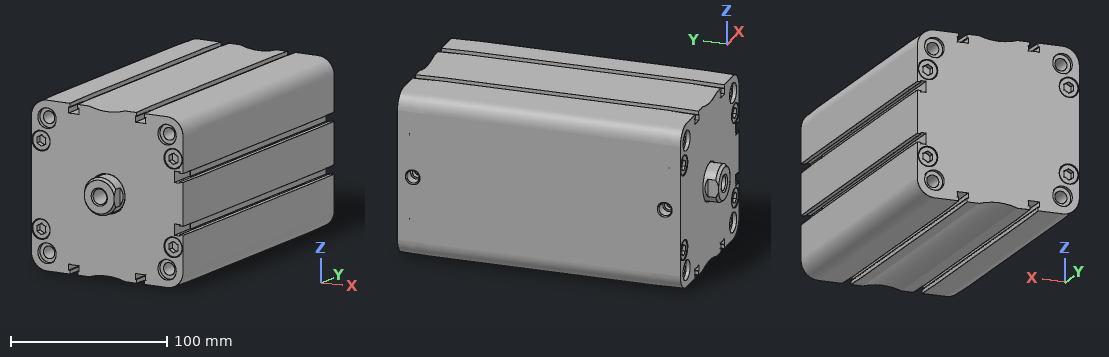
import cadquery as cq
import math

OVERALL_LENGTH = 202.0
ROD_LENGTH = 9.9
BODY_LENGTH = OVERALL_LENGTH - ROD_LENGTH
CAP_LENGTH = 19.5

WIDTH = 113.3
HALF_WIDTH = WIDTH / 2
CORNER_CENTER = 44.5
CAP_DRAFT = 0.5
DIP_HALF_WIDTH = 13.3
DIP_FLOOR = 54.1

SLOT_MOUTH = 5.9
SLOT_INNER_WIDTH = 7.5
SLOT_LIP_FACE = HALF_WIDTH - 3.0
SLOT_FLOOR = HALF_WIDTH - 6.5
FRONT_SLOT_FLOOR = HALF_WIDTH - 6.9
TOP_SLOT_OFFSET = 24.6
SIDE_SLOT_OFFSET = 17.4

MOUNT_HOLE_DIAMETER = 8.3
MOUNT_COUNTERBORE_DIAMETER = 13.5
MOUNT_COUNTERBORE_DEPTH = 2.6

SCREW_X = 48.9
SCREW_Z = 29.0
SCREW_RECESS_DIAMETER = 13.5
SCREW_RECESS_DEPTH = 8.0
SCREW_HEAD_DIAMETER = 12.7
SCREW_HEAD_INSET = 0.5
SOCKET_ACROSS_FLATS = 6.5
SOCKET_DEPTH = 4.0
HEXAGON_SIDES = 6

PORT_INSET = 10.5
PORT_MOUTH_DIAMETER = 10.0
PORT_THREAD_DIAMETER = 8.5
PORT_BORE_DIAMETER = 6.0
PORT_THREAD_DEPTH = 8.0
PORT_DEPTH = 12.1

ROD_DIAMETER = 25.0
ROD_SEAL_DIAMETER = 26.5
ROD_SEAL_DEPTH = 2.0
ROD_CHAMFER_LENGTH = 2.0
ROD_CHAMFER_WIDTH = 1.5
WRENCH_FLAT_WIDTH = 22.0
WRENCH_FLAT_START = 2.6
ROD_HOLE_DIAMETER = 10.0
ROD_HOLE_MOUTH_DIAMETER = 12.0
ROD_HOLE_DEPTH = 20.0
DRILL_POINT_ANGLE = 118.0

CUT_OVERSHOOT = 2.0
END_FACES = [(0.0, 1), (BODY_LENGTH, -1)]


def y_cylinder(diameter, y_start, y_end, x=0.0, z=0.0):
    """Cylinder along Y between two Y positions."""
    return cq.Workplane(
        cq.Solid.makeCylinder(
            diameter / 2, abs(y_end - y_start), cq.Vector(x, y_start, z), cq.Vector(0, y_end - y_start, 0)
        )
    )


def outline(y, half_width):
    """Rounded square with a shallow arc dip in the middle of the top and bottom sides."""
    radius = half_width - CORNER_CENTER
    arc_reach = CORNER_CENTER + radius * math.sqrt(0.5)
    return (
        cq.Workplane("XZ", origin=(0, y, 0))
        .moveTo(-CORNER_CENTER, half_width)
        .lineTo(-DIP_HALF_WIDTH, half_width)
        .threePointArc((0, DIP_FLOOR), (DIP_HALF_WIDTH, half_width))
        .lineTo(CORNER_CENTER, half_width)
        .threePointArc((arc_reach, arc_reach), (half_width, CORNER_CENTER))
        .lineTo(half_width, -CORNER_CENTER)
        .threePointArc((arc_reach, -arc_reach), (CORNER_CENTER, -half_width))
        .lineTo(DIP_HALF_WIDTH, -half_width)
        .threePointArc((0, -DIP_FLOOR), (-DIP_HALF_WIDTH, -half_width))
        .lineTo(-CORNER_CENTER, -half_width)
        .threePointArc((-arc_reach, -arc_reach), (-half_width, -CORNER_CENTER))
        .lineTo(-half_width, CORNER_CENTER)
        .threePointArc((-arc_reach, arc_reach), (-CORNER_CENTER, half_width))
        .close()
        .wire()
        .val()
    )


def make_body():
    """Tube between two caps that taper slightly towards their ends."""
    end_half_width = HALF_WIDTH - CAP_DRAFT
    sections = [
        outline(0, end_half_width),
        outline(CAP_LENGTH, HALF_WIDTH),
        outline(BODY_LENGTH - CAP_LENGTH, HALF_WIDTH),
        outline(BODY_LENGTH, end_half_width),
    ]
    return cq.Workplane(cq.Solid.makeLoft(sections, True))


def t_slot(floor, length):
    """Cutter for a T-slot in the top side, from Y = 0 and centered on X = 0."""
    mouth_height = HALF_WIDTH + CUT_OVERSHOOT - floor
    inner_height = SLOT_LIP_FACE - floor
    mouth = cq.Workplane("XY").box(SLOT_MOUTH, length, mouth_height, centered=(True, False, False))
    inner = cq.Workplane("XY").box(SLOT_INNER_WIDTH, length, inner_height, centered=(True, False, False))
    return mouth.union(inner).translate((0, 0, floor))


def cut_slots(body):
    """Two slots in the top, bottom and +X sides; the -X side stays closed."""
    slot = t_slot(SLOT_FLOOR, BODY_LENGTH).union(t_slot(FRONT_SLOT_FLOOR, CAP_LENGTH))
    for turn, offset in [(0, TOP_SLOT_OFFSET), (180, TOP_SLOT_OFFSET), (90, SIDE_SLOT_OFFSET)]:
        for side in (-1, 1):
            cutter = slot.translate((side * offset, 0, 0)).rotate((0, 0, 0), (0, 1, 0), turn)
            body = body.cut(cutter)
    return body


def cut_mounting_holes(body):
    """Through holes in the four corners, counterbored at both ends."""
    for x in (-CORNER_CENTER, CORNER_CENTER):
        for z in (-CORNER_CENTER, CORNER_CENTER):
            body = body.cut(y_cylinder(MOUNT_HOLE_DIAMETER, 0, BODY_LENGTH, x, z))
            for face_y, inward in END_FACES:
                floor_y = face_y + inward * MOUNT_COUNTERBORE_DEPTH
                body = body.cut(y_cylinder(MOUNT_COUNTERBORE_DIAMETER, face_y, floor_y, x, z))
    return body


def add_cap_screws(body):
    """Socket head screws sunk in round recesses of both caps."""
    socket_diameter = SOCKET_ACROSS_FLATS / math.cos(math.pi / HEXAGON_SIDES)
    for x in (-SCREW_X, SCREW_X):
        for z in (-SCREW_Z, SCREW_Z):
            for face_y, inward in END_FACES:
                head_y = face_y + inward * SCREW_HEAD_INSET
                floor_y = face_y + inward * SCREW_RECESS_DEPTH
                socket = (
                    cq.Workplane("XZ", origin=(x, head_y, z))
                    .polygon(HEXAGON_SIDES, socket_diameter)
                    .extrude(-inward * SOCKET_DEPTH)
                    .rotate((x, 0, z), (x, 1, z), 90)
                )
                head = y_cylinder(SCREW_HEAD_DIAMETER, head_y, floor_y, x, z).cut(socket)
                body = body.cut(y_cylinder(SCREW_RECESS_DIAMETER, face_y, floor_y, x, z)).union(head)
    return body


def cut_ports(body):
    """Stepped air port with a countersunk mouth in the -X side of each cap."""
    mouth = PORT_MOUTH_DIAMETER / 2
    thread = PORT_THREAD_DIAMETER / 2
    bore = PORT_BORE_DIAMETER / 2
    for face_y, inward in END_FACES:
        port_y = face_y + inward * PORT_INSET
        surface_x = -HALF_WIDTH + CAP_DRAFT * (1 - PORT_INSET / CAP_LENGTH)
        port = (
            cq.Workplane("XY", origin=(surface_x, port_y, 0))
            .moveTo(-CUT_OVERSHOOT, 0)
            .lineTo(-CUT_OVERSHOOT, mouth)
            .lineTo(0, mouth)
            .lineTo(mouth - thread, thread)
            .lineTo(PORT_THREAD_DEPTH, thread)
            .lineTo(PORT_THREAD_DEPTH, bore)
            .lineTo(PORT_DEPTH, bore)
            .lineTo(PORT_DEPTH, 0)
            .close()
            .revolve(360, (0, 0, 0), (1, 0, 0))
        )
        body = body.cut(port)
    return body


def wrench_flat():
    """Block that cuts the wrench flat on the +X side of the rod, with a 45 degree run-out."""
    flat_x = WRENCH_FLAT_WIDTH / 2
    outer_x = ROD_DIAMETER / 2 + CUT_OVERSHOOT
    runout = outer_x - flat_x
    return (
        cq.Workplane("XY")
        .moveTo(flat_x, -ROD_LENGTH)
        .lineTo(flat_x, -WRENCH_FLAT_START)
        .lineTo(outer_x, -WRENCH_FLAT_START + runout)
        .lineTo(outer_x, -ROD_LENGTH)
        .close()
        .extrude(ROD_DIAMETER, both=True)
    )


def rod_hole():
    """Threaded hole in the rod end with a countersunk mouth and a drill point."""
    radius = ROD_HOLE_DIAMETER / 2
    mouth = ROD_HOLE_MOUTH_DIAMETER / 2
    bottom_y = -ROD_LENGTH + ROD_HOLE_DEPTH
    point_length = radius / math.tan(math.radians(DRILL_POINT_ANGLE / 2))
    return (
        cq.Workplane("XY")
        .moveTo(0, -ROD_LENGTH)
        .lineTo(mouth, -ROD_LENGTH)
        .lineTo(radius, -ROD_LENGTH + mouth - radius)
        .lineTo(radius, bottom_y)
        .lineTo(0, bottom_y + point_length)
        .close()
        .revolve(360, (0, 0, 0), (0, 1, 0))
    )


def add_rod(body):
    """Rod end with chamfered tip, two wrench flats and a narrow gap to the front cap."""
    rod = (
        y_cylinder(ROD_DIAMETER, -ROD_LENGTH, ROD_SEAL_DEPTH)
        .faces("<Y")
        .chamfer(ROD_CHAMFER_LENGTH, ROD_CHAMFER_WIDTH)
    )
    flat = wrench_flat()
    rod = rod.cut(flat).cut(flat.mirror("YZ"))
    body = body.cut(y_cylinder(ROD_SEAL_DIAMETER, 0, ROD_SEAL_DEPTH)).union(rod)
    return body.cut(rod_hole())


result = make_body()
result = cut_slots(result)
result = cut_mounting_holes(result)
result = add_cap_screws(result)
result = cut_ports(result)
result = add_rod(result)